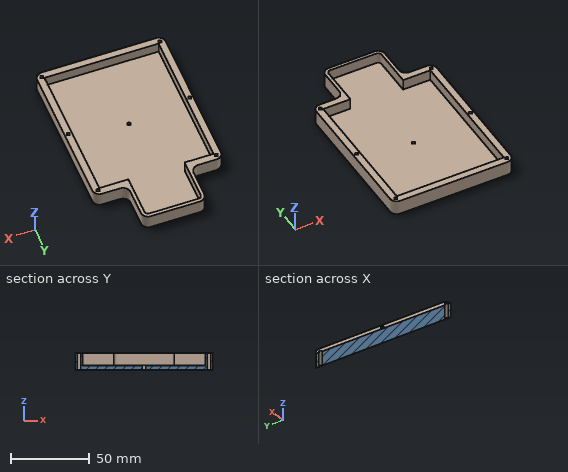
import cadquery as cq

HEIGHT = 11.0
FLOOR_THICKNESS = 3.0
TOTAL_LENGTH = 135.75
CORNER_RADIUS = 5.0

BODY_WIDTH = 88.2
BODY_LENGTH = 107.25
BODY_WALL = 5.0

NECK_WIDTH = 43.5
NECK_WALL = 2.5

HOLE_DIAMETER = 2.1
CORNER_HOLE_INSET = 3.6
SIDE_HOLE_INSET = BODY_WALL / 2

BODY_END_Y = BODY_LENGTH / 2
NECK_END_Y = TOTAL_LENGTH - BODY_END_Y
POCKET_DEPTH = HEIGHT - FLOOR_THICKNESS


def neck_block(width, end_y, base_z, height):
    """Block running from the middle of the body out to end_y."""
    return (
        cq.Workplane("XY", origin=(0, end_y / 2, base_z))
        .box(width, end_y, height, centered=(True, True, False))
    )


def outer_block():
    """Solid body and neck with every vertical edge rounded, including the inside corners."""
    body = cq.Workplane("XY").box(BODY_WIDTH, BODY_LENGTH, HEIGHT, centered=(True, True, False))
    neck = neck_block(NECK_WIDTH, NECK_END_Y, 0, HEIGHT)
    return body.union(neck).edges("|Z").fillet(CORNER_RADIUS)


def pocket():
    """Open-topped cavity: sharp corners in the body, rounded corners at the neck end."""
    body_cavity = cq.Workplane("XY", origin=(0, 0, FLOOR_THICKNESS)).box(
        BODY_WIDTH - 2 * BODY_WALL,
        BODY_LENGTH - 2 * BODY_WALL,
        POCKET_DEPTH,
        centered=(True, True, False),
    )
    neck_cavity = (
        neck_block(NECK_WIDTH - 2 * NECK_WALL, NECK_END_Y - NECK_WALL, FLOOR_THICKNESS, POCKET_DEPTH)
        .faces(">Y")
        .edges("|Z")
        .fillet(CORNER_RADIUS - NECK_WALL)
    )
    return body_cavity.union(neck_cavity)


def screw_holes():
    """Through holes: one at each body corner, one midway along each side, one in the floor centre."""
    corner_x = BODY_WIDTH / 2 - CORNER_HOLE_INSET
    corner_y = BODY_END_Y - CORNER_HOLE_INSET
    side_x = BODY_WIDTH / 2 - SIDE_HOLE_INSET
    points = [(0, 0)]
    for side in (-1, 1):
        points.append((side * side_x, 0))
        for end in (-1, 1):
            points.append((side * corner_x, end * corner_y))
    return cq.Workplane("XY").pushPoints(points).circle(HOLE_DIAMETER / 2).extrude(HEIGHT)


result = outer_block().cut(pocket()).cut(screw_holes())